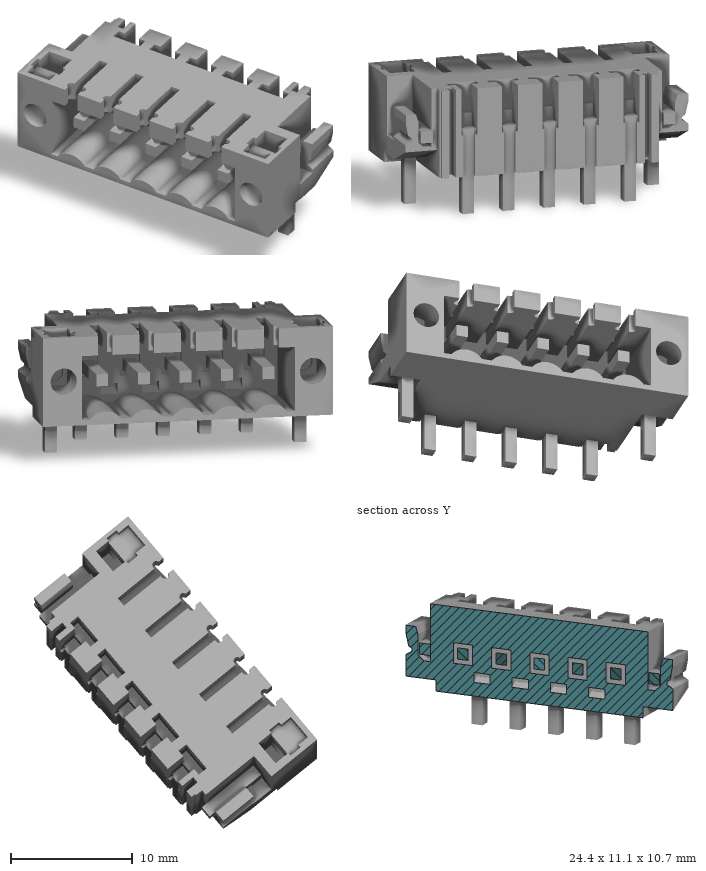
import cadquery as cq
pitch = 3.5
pin_count = 5
pin_size = 1.0
leg_length = 3.23
pin_axis_z = 3.47

half_width = 12.22
right_setback = 0.05
height = 7.43
depth = 11.05
body_depth = 10.02
anchor_x = 3 * pitch

rib_half_width = 9.36
rib_shoulder_half_width = 9.49
rib_shoulder_y = 10.68
slit_inner_x = 8.17
slit_outer_x = 8.73
slit_front_y = 9.88

cavity_half_width = 8.95
cavity_depth = 6.85
cavity_floor = 0.45
cavity_ceiling = 5.82
hump_half_width = 1.32
hump_top = 1.1
hump_sag = hump_top - cavity_floor
hump_radius = (hump_half_width**2 + hump_sag**2) / (2 * hump_sag)
pin_recess_size = 1.7
pin_recess_depth = 0.37
window_width = 1.45
window_bottom = 1.1
window_sill = 1.55
window_top = 2.0
window_depth = 0.73

slot_width = 0.8
slot_length = 5.05
groove_top = height - 0.51
mouth_width = 1.25
lobe_width = 1.74
lobe_diameter = 0.64
lobe_y = 0.83

well_width = 2.62
well_front_y = 8.55
well_rear_y = 9.4
well_floor = 5.0
neck_width = 1.4
neck_front_y = 9.45
relief_front_y = 10.56
relief_drop = 0.5
rear_relief = 0.07

bore_z = 3.75
bore_radius = 1.1
screw_radius = 0.78
screw_end_y = 4.4
nut_front_y = 0.46
nut_wide_y = 1.5
nut_well_y = 2.55
nut_rear_y = 3.9
nut_width = 2.2
nut_wide_width = 2.76
nut_ledge = height - 0.75
nut_floor = bore_z - bore_radius

wing_inner_x = 9.98
wing_front_y = 4.9
wing_floor = 2.5
undercut_inner_x = rib_shoulder_half_width
undercut_front_y = 4.2
undercut_height = 0.95
undercut_slope_y = 7.15
undercut_rear_height = 2.2
arm_front_y = 6.8
arm_top_z = 5.33
arm_top_inner_x = 11.3
arm_inner_x = 11.08
arm_bevel_z = 4.65
arm_foot_x = 10.59
arm_foot_z = 2.93
hook_tip_x = 11.98
hook_tip_z = 3.6
groove_x = 11.69
groove_top_z = 3.4
groove_round_z = 3.25
lip_inner_x = 11.93
lip_inner_z = 3.0
lip_outer_z = 2.8

contact_tip_y = 1.2
contact_rear_y = rib_shoulder_y
anchor_front_y = 4.96
anchor_rear_y = 10.46

pin_xs = [(i - (pin_count - 1) / 2) * pitch for i in range(pin_count)]
gap_xs = [(a + b) / 2 for a, b in zip(pin_xs, pin_xs[1:])]
sides = (-1, 1)


def block(x_min, x_max, y_min, y_max, z_min, z_max):
    """Axis-aligned box given by its limits; the X limits may come in either order."""
    size_x = abs(x_max - x_min)
    box = cq.Workplane("XY").box(size_x, y_max - y_min, z_max - z_min, centered=False)
    return box.translate((min(x_min, x_max), y_min, z_min))


def centred_block(x, width, y_min, y_max, z_min, z_max):
    """Axis-aligned box centred on x."""
    return block(x - width / 2, x + width / 2, y_min, y_max, z_min, z_max)


def contact_pin(x):
    """L-shaped contact: arm along Y, leg going down at the rear end."""
    arm = centred_block(x, pin_size, contact_tip_y, contact_rear_y,
                        pin_axis_z - pin_size / 2, pin_axis_z + pin_size / 2)
    leg = centred_block(x, pin_size, contact_rear_y - pin_size, contact_rear_y, -leg_length, pin_axis_z)
    return arm.union(leg)


def anchor_pin(side):
    """L-shaped anchor: arm along Y above the wing, leg going down at the front end."""
    x = side * anchor_x
    arm = centred_block(x, pin_size, anchor_front_y, anchor_rear_y,
                        pin_axis_z - pin_size / 2, pin_axis_z + pin_size / 2)
    leg = centred_block(x, pin_size, anchor_front_y, anchor_front_y + pin_size, -leg_length, pin_axis_z)
    return arm.union(leg)


def body_block():
    """Main block with full-width front shoulders and a stepped rear rib."""
    body = block(-wing_inner_x, wing_inner_x, 0, body_depth, 0, height)
    shoulders = block(-half_width, half_width - right_setback, 0, wing_front_y, 0, height)
    rib_base = block(-rib_shoulder_half_width, rib_shoulder_half_width, 0, rib_shoulder_y, 0, height)
    rib = block(-rib_half_width, rib_half_width, 0, depth, 0, height)
    body = body.union(shoulders).union(rib_base).union(rib)
    for side in sides:
        body = body.cut(block(side * slit_inner_x, side * slit_outer_x, slit_front_y, depth, 0, height))
    return body


def mating_cavity():
    """Front cavity with a humped floor, pin recesses and sloped-sill windows in its rear wall."""
    cavity = block(-cavity_half_width, cavity_half_width, 0, cavity_depth, cavity_floor, cavity_ceiling)
    for x in pin_xs:
        hump = (cq.Workplane("XZ").center(x, hump_top - hump_radius).circle(hump_radius)
                .extrude(-cavity_depth))
        cavity = cavity.cut(hump)
    for x in pin_xs:
        recess = centred_block(x, pin_recess_size, cavity_depth, cavity_depth + pin_recess_depth,
                               pin_axis_z - pin_recess_size / 2, pin_axis_z + pin_recess_size / 2)
        cavity = cavity.union(recess)
    for x in gap_xs:
        window = (cq.Workplane("YZ", origin=(x, 0, 0))
                  .moveTo(cavity_depth, window_bottom)
                  .lineTo(cavity_depth + window_depth, window_sill)
                  .lineTo(cavity_depth + window_depth, window_top)
                  .lineTo(cavity_depth, window_top)
                  .close()
                  .extrude(window_width / 2, both=True))
        cavity = cavity.union(window)
    return cavity


def keyway_slot(x):
    """Roof slot with a wider mouth and a round-ended lobe, continued to the cavity wall as a groove."""
    slot = centred_block(x, slot_width, 0, slot_length, cavity_ceiling, height)
    groove = centred_block(x, slot_width, 0, cavity_depth, cavity_ceiling, groove_top)
    mouth = centred_block(x, mouth_width, 0, lobe_y, cavity_ceiling, height)
    lobe = (cq.Workplane("XY", origin=(x, lobe_y, cavity_ceiling))
            .slot2D(lobe_width, lobe_diameter).extrude(height - cavity_ceiling))
    return slot.union(groove).union(mouth).union(lobe)


def contact_well(x):
    """T-shaped well behind a pin: wide head, narrower neck, and a pin-wide slot open to the rear."""
    pin_top = pin_axis_z + pin_size / 2
    head = centred_block(x, well_width, well_front_y, well_rear_y, well_floor, height)
    head_throat = centred_block(x, neck_width, well_rear_y, neck_front_y, well_floor, height)
    neck = centred_block(x, neck_width, neck_front_y, depth, pin_top, height)
    relief = centred_block(x, neck_width, relief_front_y, depth, pin_top - relief_drop, height)
    rear_face = centred_block(x, neck_width, depth - rear_relief, depth, 0, height)
    pin_slot = centred_block(x, pin_size, contact_rear_y, depth, 0, height)
    return head.union(head_throat).union(neck).union(relief).union(rear_face).union(pin_slot)


def screw_bore(side):
    """Bore into a nut pocket open through the roof, with a narrower blind screw hole behind it."""
    x = side * anchor_x
    bore = cq.Workplane("XZ").center(x, bore_z).circle(bore_radius).extrude(-nut_well_y)
    screw = cq.Workplane("XZ").center(x, bore_z).circle(screw_radius).extrude(-screw_end_y)
    front = centred_block(x, nut_width, nut_front_y, nut_wide_y, nut_ledge, height)
    wide = centred_block(x, nut_wide_width, nut_wide_y, nut_well_y, nut_ledge, height)
    well = centred_block(x, nut_width, nut_well_y, nut_rear_y, nut_floor, height)
    return bore.union(screw).union(front).union(wide).union(well)


def wing(side):
    """Side wing under an anchor pin with an upright, hooked latch arm along its outer edge."""
    setback = right_setback if side > 0 else 0
    arm_outer_x = half_width - setback
    base = block(side * wing_inner_x, side * half_width, wing_front_y, body_depth, 0, wing_floor)
    arm = (cq.Workplane("XZ", origin=(0, arm_front_y, 0))
           .moveTo(side * arm_top_inner_x, arm_top_z)
           .lineTo(side * arm_outer_x, arm_top_z)
           .lineTo(side * arm_outer_x, arm_bevel_z)
           .lineTo(side * hook_tip_x, hook_tip_z)
           .lineTo(side * groove_x, groove_top_z)
           .lineTo(side * groove_x, groove_round_z)
           .tangentArcPoint((side * lip_inner_x, lip_inner_z), relative=False)
           .lineTo(side * half_width, lip_outer_z)
           .lineTo(side * half_width, wing_floor)
           .lineTo(side * arm_foot_x, wing_floor)
           .lineTo(side * arm_inner_x, arm_foot_z)
           .lineTo(side * arm_inner_x, arm_bevel_z)
           .close()
           .extrude(arm_front_y - body_depth))
    return base.union(arm)


def wing_undercut(side):
    """Clearance below a wing, open at the side and rear, with a roof that rises to the rear."""
    return (cq.Workplane("YZ", origin=(side * undercut_inner_x, 0, 0))
            .moveTo(undercut_front_y, 0)
            .lineTo(undercut_front_y, undercut_height)
            .lineTo(undercut_slope_y, undercut_height)
            .lineTo(body_depth, undercut_rear_height)
            .lineTo(body_depth, 0)
            .close()
            .extrude(side * (half_width - undercut_inner_x)))


contact_pins = [contact_pin(x) for x in pin_xs]
anchor_pins = [anchor_pin(side) for side in sides]
pins = contact_pins + anchor_pins

housing = body_block().cut(mating_cavity())
for x in pin_xs:
    housing = housing.cut(keyway_slot(x)).cut(contact_well(x))
for side in sides:
    housing = housing.cut(screw_bore(side)).union(wing(side)).cut(wing_undercut(side))
for pin in pins:
    housing = housing.cut(pin)

result = cq.Compound.makeCompound([housing.val(), *[pin.val() for pin in pins]])